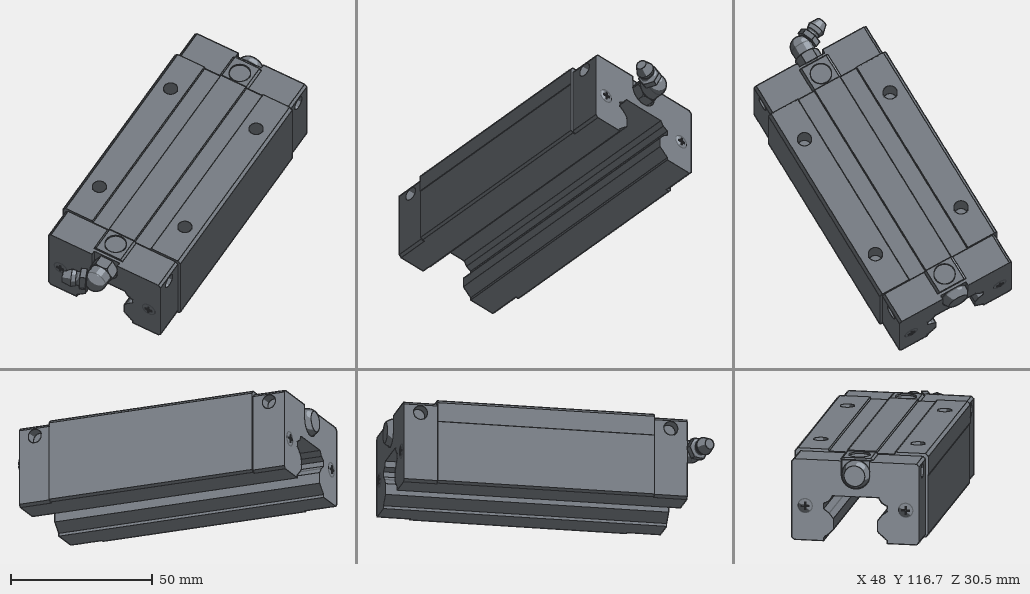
import cadquery as cq
import math


width = 48.0
height = 30.5
carriage_length = 78.4
carriage_top_chamfer = 1.0
carriage_base_chamfer = 0.8
side_relief = 0.2
reference_face_base = 22.5
groove_floor = 29.8
groove_inner = 5.1
groove_outer = 11.8
groove_wall_run = 0.2

opening_width = 11.4
opening_mouth_top = 1.0
opening_neck = 7.9
opening_neck_base = 4.2
opening_neck_top = 8.2
opening_waist_base = 11.7
opening_waist_top = 13.5
opening_roof_width = 8.3
opening_roof = 16.6
lip_corner_width = 9.5
lower_lip_corner = 10.2
upper_lip_corner = 14.7

hole_spacing_x = 35.0
hole_spacing_y = 50.0
hole_diameter = 5.0
hole_depth = 8.2
drill_point_angle = 120

cap_width = 45.9
cap_height = 29.4
cap_chamfer = 0.9
end_face = 51.2
seal_thickness = 2.6
pad_top = 30.1
pad_base_half_width = 5.8
pad_top_half_width = 5.0
top_port_y = 43.5
top_port_diameter = 7.6
top_port_depth = 0.6
side_port_y = 45.3
side_port_z = 25.7
side_port_diameter = 5.0
side_port_depth = 4.7

screw_x = 18.1
screw_z = 12.5
screw_radius = 2.6
screw_head_height = 0.5
cross_length = 2.8
cross_width = 0.5
cross_depth = 0.4

grease_z = 24.5
pocket_radius = 5.1
pocket_depth = 1.5
pocket_floor = end_face - pocket_depth
overall_length = 116.7
plug_end = 53.1
plug_rim_height = 0.4
plug_base_radius = 5.0
plug_tip_radius = 3.7
plug_bulge = 0.8
fitting_hex_flats = 8.2
fitting_hex_end = 53.9
hex_end_chamfer = 0.5
elbow_radius = 4.0

nipple_angle = 22.5
nipple_hex_flats = 7.0
nipple_hex_start = 3.4
nipple_hex_end = 5.5
shank_radius = 2.6
neck_radius = 2.5
collar_radius = 2.7
collar_position = 7.0
bulge_radius = 3.2
bulge_position = 8.6
tip_radius = 1.9
tip_position = 11.9
tip_tilt = math.radians(nipple_angle)
tip_reach = tip_position * math.sin(tip_tilt) + tip_radius * math.cos(tip_tilt)
elbow_y = plug_end - overall_length + tip_reach


def mirrored(points):
    """Complete a half outline with its mirror image across X = 0."""
    return points + [(-x, z) for x, z in reversed(points)]


def along_y(outline, y_start, y_end):
    """Extrude a closed XZ outline from y_start to y_end."""
    plane = cq.Workplane("XZ", origin=(0, y_start, 0))
    return plane.polyline(outline).close().extrude(y_start - y_end)


def hexagon(flats, length):
    """Hexagonal bar along local Z with two corners on local X."""
    corner_diameter = flats / math.cos(math.radians(30))
    return cq.Workplane("XY").polygon(6, corner_diameter).extrude(length)


def make_carriage():
    half = width / 2
    relieved = half - side_relief
    outline = [
        (-relieved + carriage_base_chamfer, 0),
        (half - carriage_base_chamfer, 0),
        (half, carriage_base_chamfer),
        (half, height - carriage_top_chamfer),
        (half - carriage_top_chamfer, height),
        (groove_outer + groove_wall_run, height),
        (groove_outer, groove_floor),
        (groove_inner + groove_wall_run, groove_floor),
        (groove_inner, height),
        (-groove_inner, height),
        (-groove_inner - groove_wall_run, groove_floor),
        (-groove_outer, groove_floor),
        (-groove_outer - groove_wall_run, height),
        (-half + carriage_top_chamfer, height),
        (-half, height - carriage_top_chamfer),
        (-half, reference_face_base),
        (-relieved, reference_face_base),
        (-relieved, carriage_base_chamfer),
    ]
    return along_y(outline, -carriage_length / 2, carriage_length / 2)


def make_rail_opening():
    """Opening for the rail, with a two-slope lip below and above the waist on each side."""
    outline = mirrored([
        (opening_width, 0),
        (opening_width, opening_mouth_top),
        (opening_neck, opening_neck_base),
        (opening_neck, opening_neck_top),
        (lip_corner_width, lower_lip_corner),
        (opening_width, opening_waist_base),
        (opening_width, opening_waist_top),
        (lip_corner_width, upper_lip_corner),
        (opening_roof_width, opening_roof),
    ])
    return along_y(outline, -end_face, end_face)


def make_mounting_holes():
    radius = hole_diameter / 2
    point_depth = radius / math.tan(math.radians(drill_point_angle / 2))
    profile = [
        (0, height),
        (radius, height),
        (radius, height - hole_depth),
        (0, height - hole_depth - point_depth),
    ]
    drill = cq.Workplane("XZ").polyline(profile).close().revolve(360, (0, 0), (0, 1))
    holes = cq.Workplane("XY")
    for x in (-hole_spacing_x / 2, hole_spacing_x / 2):
        for y in (-hole_spacing_y / 2, hole_spacing_y / 2):
            holes = holes.add(drill.translate((x, y, 0)))
    return holes.combine()


def make_caps():
    """Both end caps as one bar that passes through the carriage."""
    outline = mirrored([
        (cap_width / 2 - cap_chamfer, 0),
        (cap_width / 2, cap_chamfer),
        (cap_width / 2, cap_height - cap_chamfer),
        (cap_width / 2 - cap_chamfer, cap_height),
    ])
    return along_y(outline, -end_face, end_face)


def make_pad(side):
    """Raised pad on top of one end cap; side is -1 for the front, 1 for the back."""
    outline = mirrored([
        (pad_base_half_width, cap_height),
        (pad_top_half_width, pad_top),
    ])
    pad = along_y(outline, side * carriage_length / 2, side * (end_face - seal_thickness))
    port = (
        cq.Workplane("XY", origin=(0, side * top_port_y, pad_top))
        .circle(top_port_diameter / 2)
        .extrude(-top_port_depth)
    )
    return pad.cut(port)


def make_side_port(x_side, y_side):
    plane = cq.Workplane("YZ", origin=(x_side * cap_width / 2, y_side * side_port_y, side_port_z))
    return plane.circle(side_port_diameter / 2).extrude(-x_side * side_port_depth)


def make_grease_pocket(side):
    """Round-bottomed pocket in an end face, open at the top."""
    plane = cq.Workplane("XZ", origin=(0, side * pocket_floor, 0))
    return (
        plane.moveTo(-pocket_radius, height)
        .lineTo(-pocket_radius, grease_z)
        .threePointArc((0, grease_z - pocket_radius), (pocket_radius, grease_z))
        .lineTo(pocket_radius, height)
        .close()
        .extrude(-side * pocket_depth)
    )


def make_screw(x, side):
    """Domed screw head with a cross recess on one end face."""
    dome_radius = (screw_radius**2 + screw_head_height**2) / (2 * screw_head_height)
    head = (
        cq.Workplane("XY")
        .lineTo(screw_radius, 0)
        .radiusArc((0, screw_head_height), -dome_radius)
        .close()
        .revolve(360, (0, 0), (0, 1))
    )
    recess_y = screw_head_height - cross_depth / 2
    for size_x, size_z in ((cross_length, cross_width), (cross_width, cross_length)):
        slot = cq.Workplane("XY").box(size_x, cross_depth, size_z)
        head = head.cut(slot.translate((0, recess_y, 0)))
    if side < 0:
        head = head.mirror("XZ")
    return head.translate((x, side * end_face, screw_z))


def make_plug():
    """Domed plug closing the grease port at the back."""
    rim_y = pocket_floor + plug_rim_height
    rim_to_tip = plug_end - rim_y
    bulge_x = plug_tip_radius + plug_bulge * (plug_base_radius - plug_tip_radius)
    arc_middle = (bulge_x, rim_y + rim_to_tip / 2)
    return (
        cq.Workplane("XY", origin=(0, 0, grease_z))
        .moveTo(0, pocket_floor)
        .lineTo(plug_base_radius, pocket_floor)
        .lineTo(plug_base_radius, rim_y)
        .threePointArc(arc_middle, (plug_tip_radius, plug_end))
        .lineTo(0, plug_end)
        .close()
        .revolve(360, (0, 0), (0, 1))
    )


def make_nipple():
    """Hexagon, flared neck and tapered head, pointing along -X before it is turned."""
    hexagon_bar = hexagon(nipple_hex_flats, nipple_hex_end - nipple_hex_start)
    hexagon_bar = hexagon_bar.translate((0, 0, nipple_hex_start))
    flare_radius = nipple_hex_flats / 2 - neck_radius
    head = (
        cq.Workplane("XZ")
        .lineTo(shank_radius, 0)
        .lineTo(shank_radius, nipple_hex_start)
        .lineTo(nipple_hex_flats / 2, nipple_hex_start)
        .lineTo(nipple_hex_flats / 2, nipple_hex_end)
        .radiusArc((neck_radius, nipple_hex_end + flare_radius), flare_radius)
        .lineTo(neck_radius, collar_position)
        .lineTo(collar_radius, collar_position)
        .lineTo(bulge_radius, bulge_position)
        .lineTo(tip_radius, tip_position)
        .lineTo(0, tip_position)
        .close()
        .revolve(360, (0, 0), (0, 1))
    )
    nipple = hexagon_bar.union(head).rotate((0, 0, 0), (0, 0, 1), 90)
    nipple = nipple.rotate((0, 0, 0), (0, 1, 0), -90)
    return nipple.rotate((0, 0, 0), (0, 0, 1), nipple_angle)


def make_fitting():
    """Elbow grease fitting at the front."""
    hex_length = fitting_hex_end - pocket_floor
    corner_radius = fitting_hex_flats / 2 / math.cos(math.radians(30))
    corner_cutter = cq.Workplane("XY").circle(corner_radius).extrude(hex_length)
    corner_cutter = corner_cutter.faces(">Z").chamfer(hex_end_chamfer)
    nut = hexagon(fitting_hex_flats, hex_length).intersect(corner_cutter)
    nut = nut.rotate((0, 0, 0), (1, 0, 0), 90).translate((0, -pocket_floor, grease_z))
    elbow = (
        cq.Workplane("XZ", origin=(0, elbow_y, grease_z))
        .circle(elbow_radius)
        .extrude(elbow_y + pocket_floor)
    )
    ball = cq.Workplane("XY").sphere(elbow_radius).translate((0, elbow_y, grease_z))
    nipple = make_nipple().translate((0, elbow_y, grease_z))
    return nut.union(elbow).union(ball).union(nipple)


result = make_carriage().union(make_caps())
result = result.cut(make_rail_opening())
result = result.cut(make_mounting_holes())

for y_side in (-1, 1):
    result = result.union(make_pad(y_side)).cut(make_grease_pocket(y_side))
    for x_side in (-1, 1):
        result = result.cut(make_side_port(x_side, y_side))
        result = result.union(make_screw(x_side * screw_x, y_side))

result = result.union(make_plug()).union(make_fitting())